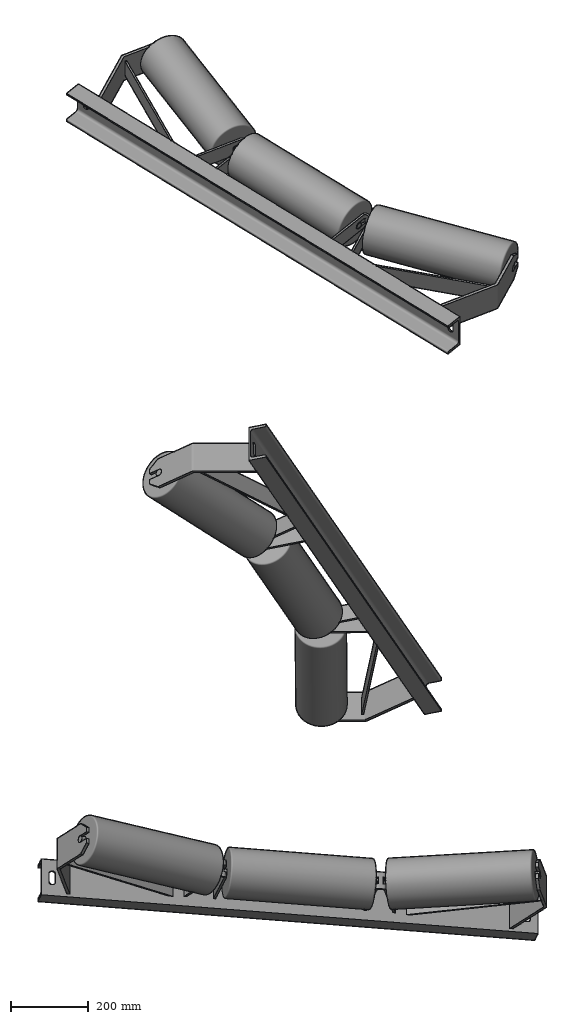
import cadquery as cq
import math

BEAM_LENGTH = 1300.0
BEAM_HEIGHT = 100.0
BACK_Y = 47.0
WEB_THICKNESS = 4.5
FLANGE_THICKNESS = 8.0
FLANGE_ROOT_RADIUS = 8.0
FLANGE_TIP_RADIUS = 4.5
MOUNT_SLOT_WIDTH = 17.0
MOUNT_SLOT_HEIGHT = 38.0
MOUNT_SLOT_X = BEAM_LENGTH / 2 - 29.0

ROLLER_LENGTH = 380.0
ROLLER_DIAMETER = 133.0
ROLLER_EDGE_RADIUS = 4.0
SHAFT_DIAMETER = 18.0
CENTRE_ROLLER_Y = 166.0
WING_ROLLER_X = 412.0
WING_ROLLER_Y = 242.0
TROUGH_ANGLE = 20.0

PLATE_THICKNESS = 8.0
BRACKET_HEIGHT = 85.0
ROLLER_GAP = 4.5
TIP_OVER_AXIS = 31.0
TIP_FLAT_HEIGHT = 44.0
TIP_TAPER_LENGTH = 29.0
OUTER_BEND_Y = 204.0
OUTER_BEND_RADIUS = 10.0
SADDLE_HEIGHT = 47.0
SADDLE_THICKNESS = 5.8
SADDLE_TOP_Y = 196.0
SADDLE_BEND_RADIUS = 10.0

BRACE_THICKNESS = 5.0
BRACE_HEIGHT = 52.0
BRACE_FOOT_X = 305.0
BRACE_TOP_Y = 213.0

LEG_NEAR = ROLLER_LENGTH / 2 + ROLLER_GAP
LEG_FAR = LEG_NEAR + PLATE_THICKNESS
SADDLE_FAR = LEG_NEAR + SADDLE_THICKNESS

ANGLE = math.radians(TROUGH_ANGLE)
COS = math.cos(ANGLE)
SIN = math.sin(ANGLE)
TAN = math.tan(ANGLE)

CENTRE_PLANE = cq.Plane((0, CENTRE_ROLLER_Y, 0), xDir=(1, 0, 0), normal=(0, 0, 1))
RIGHT_PLANE = cq.Plane((WING_ROLLER_X, WING_ROLLER_Y, 0), xDir=(COS, SIN, 0), normal=(0, 0, 1))
LEFT_PLANE = cq.Plane((-WING_ROLLER_X, WING_ROLLER_Y, 0), xDir=(COS, -SIN, 0), normal=(0, 0, 1))


def upright(points, height):
    """Prism of an XY outline, centred on Z = 0."""
    return cq.Workplane("XY", origin=(0, 0, -height / 2)).polyline(points).close().extrude(height)


def cylinder_on_axis(plane, diameter, start, end):
    """Cylinder along the plane's X direction, between two distances from its origin."""
    return (
        cq.Workplane(plane)
        .transformed(rotate=(0, 90, 0), offset=(start, 0, 0))
        .circle(diameter / 2)
        .extrude(end - start)
    )


def wing_leg_x(distance, y):
    """X at height y of the plane square to the right wing roller's axis, distance from its middle."""
    return WING_ROLLER_X + distance / COS - (y - WING_ROLLER_Y) * TAN


def make_beam():
    half = BEAM_HEIGHT / 2
    web_face_y = BACK_Y - WEB_THICKNESS
    inner = half - FLANGE_THICKNESS
    outline = [
        (BACK_Y, half),
        (0, half),
        (0, inner),
        (web_face_y, inner),
        (web_face_y, -inner),
        (0, -inner),
        (0, -half),
        (BACK_Y, -half),
    ]
    left_end = cq.Workplane("YZ", origin=(-BEAM_LENGTH / 2, 0, 0))
    beam = left_end.polyline(outline).close().extrude(BEAM_LENGTH)
    for side in (-1, 1):
        root_edge = cq.selectors.NearestToPointSelector((0, web_face_y, side * inner))
        beam = beam.edges(root_edge).fillet(FLANGE_ROOT_RADIUS)
        tip_edge = cq.selectors.NearestToPointSelector((0, 0, side * inner))
        beam = beam.edges(tip_edge).fillet(FLANGE_TIP_RADIUS)
    mount_slots = (
        cq.Workplane("XZ", origin=(0, BACK_Y, 0))
        .pushPoints([(-MOUNT_SLOT_X, 0), (MOUNT_SLOT_X, 0)])
        .slot2D(MOUNT_SLOT_HEIGHT, MOUNT_SLOT_WIDTH, 90)
        .extrude(2 * WEB_THICKNESS, both=True)
    )
    return beam.cut(mount_slots)


def shaft_slot(plane, side):
    """Open slot in the bracket leg at one end of a roller, from its axis out through the tip."""
    middle = (LEG_NEAR + LEG_FAR) / 2
    reach = 2 * TIP_OVER_AXIS
    start_face = side * middle - PLATE_THICKNESS / 2
    seat = cylinder_on_axis(plane, SHAFT_DIAMETER, start_face, start_face + PLATE_THICKNESS)
    throat = (
        cq.Workplane(plane)
        .center(side * middle, reach / 2)
        .box(PLATE_THICKNESS, reach, SHAFT_DIAMETER)
    )
    return seat.union(throat)


def tip_taper(side):
    """Wedge to cut from the upper (side 1) or lower (side -1) tip corner of the right outer bracket."""
    near_face = cq.Plane(
        RIGHT_PLANE.toWorldCoords((LEG_NEAR, 0, 0)), xDir=(-SIN, COS, 0), normal=(COS, SIN, 0)
    )
    edge_z = side * BRACKET_HEIGHT / 2
    corners = [
        (TIP_OVER_AXIS, edge_z),
        (TIP_OVER_AXIS - TIP_TAPER_LENGTH, edge_z),
        (TIP_OVER_AXIS, side * TIP_FLAT_HEIGHT / 2),
    ]
    return cq.Workplane(near_face).polyline(corners).close().extrude(PLATE_THICKNESS)


def make_outer_bracket():
    """Right outer bracket: leans out from the beam, then bends back square to the wing roller."""
    far_tip = RIGHT_PLANE.toWorldCoords((LEG_FAR, TIP_OVER_AXIS, 0))
    near_tip = RIGHT_PLANE.toWorldCoords((LEG_NEAR, TIP_OVER_AXIS, 0))
    far_bend_x = wing_leg_x(LEG_FAR, OUTER_BEND_Y)
    near_bend_x = wing_leg_x(LEG_NEAR, OUTER_BEND_Y)
    lean = (OUTER_BEND_Y - BACK_Y) * TAN
    outline = [
        (far_bend_x - lean, BACK_Y),
        (far_bend_x, OUTER_BEND_Y),
        (far_tip.x, far_tip.y),
        (near_tip.x, near_tip.y),
        (near_bend_x, OUTER_BEND_Y),
        (near_bend_x - lean, BACK_Y),
    ]
    bracket = upright(outline, BRACKET_HEIGHT)
    inner_bend_radius = OUTER_BEND_RADIUS - PLATE_THICKNESS
    for x, radius in ((far_bend_x, OUTER_BEND_RADIUS), (near_bend_x, inner_bend_radius)):
        bend_edge = cq.selectors.NearestToPointSelector((x, OUTER_BEND_Y, 0))
        bracket = bracket.edges(bend_edge).fillet(radius)
    for side in (-1, 1):
        bracket = bracket.cut(tip_taper(side))
    return bracket.cut(shaft_slot(RIGHT_PLANE, 1))


def saddle_core(near_x, wing_distance, top_y, bend_radius):
    """Trapezoid with rounded top edges, between an upright face and one square to the wing roller."""
    outline = [
        (near_x, BACK_Y),
        (near_x, top_y),
        (wing_leg_x(wing_distance, top_y), top_y),
        (wing_leg_x(wing_distance, BACK_Y), BACK_Y),
    ]
    return upright(outline, SADDLE_HEIGHT).faces(">Y").edges("|Z").fillet(bend_radius)


def make_saddle():
    """Right inner bracket: a folded plate that holds the centre roller and the wing roller."""
    outside = saddle_core(LEG_NEAR, -LEG_NEAR, SADDLE_TOP_Y, SADDLE_BEND_RADIUS)
    inside = saddle_core(
        SADDLE_FAR, -SADDLE_FAR, SADDLE_TOP_Y - SADDLE_THICKNESS, SADDLE_BEND_RADIUS - SADDLE_THICKNESS
    )
    saddle = outside.cut(inside)
    return saddle.cut(shaft_slot(CENTRE_PLANE, 1)).cut(shaft_slot(RIGHT_PLANE, -1))


def make_brace():
    """Right diagonal brace, from the beam's back to the bend of the outer bracket."""
    top_x = wing_leg_x((LEG_NEAR + LEG_FAR) / 2, BRACE_TOP_Y)
    slope = math.atan2(BRACE_TOP_Y - BACK_Y, top_x - BRACE_FOOT_X)
    foot_width = BRACE_THICKNESS / math.sin(slope)
    drop = BRACE_THICKNESS / math.cos(slope)
    outline = [
        (BRACE_FOOT_X, BACK_Y),
        (top_x, BRACE_TOP_Y),
        (top_x, BRACE_TOP_Y - drop),
        (BRACE_FOOT_X + foot_width, BACK_Y),
    ]
    return upright(outline, BRACE_HEIGHT)


def make_frame():
    """Welded frame: the beam with its brackets and braces."""
    frame = make_beam()
    for welded_part in (make_outer_bracket(), make_saddle(), make_brace()):
        frame = frame.union(welded_part).union(welded_part.mirror("YZ"))
    return frame


def make_roller(plane):
    barrel = cylinder_on_axis(plane, ROLLER_DIAMETER, -ROLLER_LENGTH / 2, ROLLER_LENGTH / 2)
    barrel = barrel.edges("%CIRCLE").fillet(ROLLER_EDGE_RADIUS)
    return barrel.cut(make_shaft(plane))


def make_shaft(plane):
    return cylinder_on_axis(plane, SHAFT_DIAMETER, -LEG_FAR, LEG_FAR)


frame = make_frame()
bodies = [frame.val()]
for roller_plane in (LEFT_PLANE, CENTRE_PLANE, RIGHT_PLANE):
    bodies.append(make_roller(roller_plane).val())
    bodies.append(make_shaft(roller_plane).val())

result = cq.Compound.makeCompound(bodies)